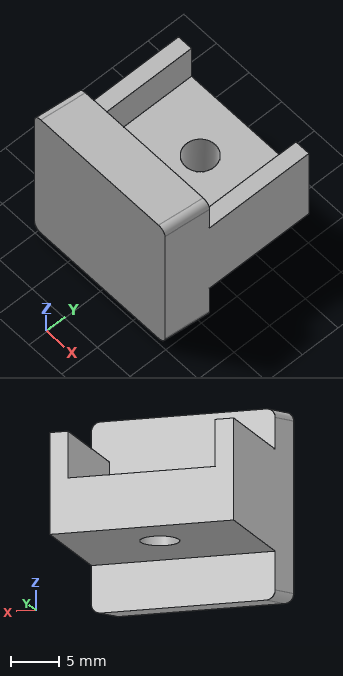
import cadquery as cq
import math

width = 20.0
depth = 20.2
height = 21.5

head_depth = 6.25
head_slope = 10.0
corner_radius = 0.99
head_drop = head_depth * math.tan(math.radians(head_slope))

channel_bottom = 5.14
channel_height = 10.88
channel_top = channel_bottom + channel_height
wall_thickness = 2.0
pocket_depth = 5.0

hole_diameter = 4.13
hole_y = 14.1


def make_head():
    """Sheared plate with its four slanted edges rounded."""
    profile = [
        (0, head_drop),
        (0, height),
        (head_depth, height - head_drop),
        (head_depth, 0),
    ]
    plate = cq.Workplane("YZ").polyline(profile).close().extrude(width)
    slanted_edges = cq.selectors.ParallelDirSelector(cq.Vector(0, head_depth, -head_drop))
    return plate.edges(slanted_edges).fillet(corner_radius)


def make_channel():
    """U-shaped channel, open at the top and the back, with a hole in its floor."""
    length = depth - head_depth
    block = cq.Workplane("XY").box(width, length, channel_height, centered=False)
    block = block.translate((0, head_depth, channel_bottom))
    pocket = cq.Workplane("XY").box(width - 2 * wall_thickness, length, pocket_depth, centered=False)
    pocket = pocket.translate((wall_thickness, head_depth, channel_top - pocket_depth))
    hole = (
        cq.Workplane("XY", origin=(width / 2, hole_y, channel_bottom))
        .circle(hole_diameter / 2)
        .extrude(channel_height)
    )
    return block.cut(pocket).cut(hole)


result = make_head().union(make_channel())